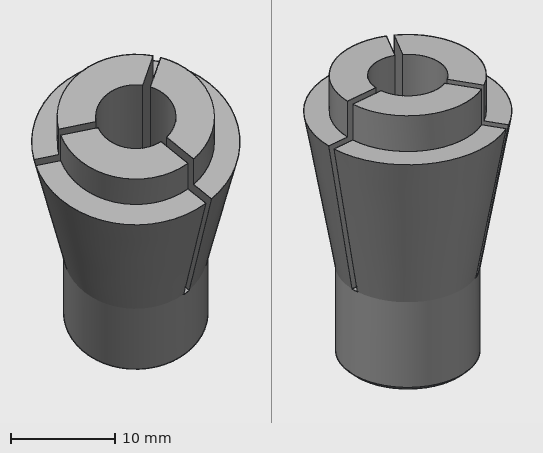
import cadquery as cq

total_height = 31.3
shank_height = 10.02
collar_height = 4.0
shank_diameter = 13.9
cone_top_diameter = 20.0
collar_diameter = 15.1
bore_diameter = 7.7
foot_chamfer = 0.5
slot_count = 3
slot_width = 0.75

shoulder_z = total_height - collar_height
shank_radius = shank_diameter / 2
cone_top_radius = cone_top_diameter / 2
collar_radius = collar_diameter / 2


def collet_body():
    """Revolve the shank, flared cone and collar around Z, then bore it through."""
    profile = (
        cq.Workplane("XZ")
        .lineTo(shank_radius - foot_chamfer, 0)
        .lineTo(shank_radius, foot_chamfer)
        .lineTo(shank_radius, shank_height)
        .lineTo(cone_top_radius, shoulder_z)
        .lineTo(collar_radius, shoulder_z)
        .lineTo(collar_radius, total_height)
        .lineTo(0, total_height)
        .close()
    )
    body = profile.revolve(360, (0, 0, 0), (0, 1, 0))
    bore = cq.Workplane("XY").circle(bore_diameter / 2).extrude(total_height)
    return body.cut(bore)


def clamping_slot(angle):
    """Radial slot from the bore outward, open at the top and ending on the shank."""
    return (
        cq.Workplane("XY", origin=(0, 0, shank_height))
        .box(cone_top_diameter, slot_width, total_height - shank_height, centered=(False, True, False))
        .rotate((0, 0, 0), (0, 0, 1), angle)
    )


result = collet_body()
for index in range(slot_count):
    result = result.cut(clamping_slot(index * 360 / slot_count))